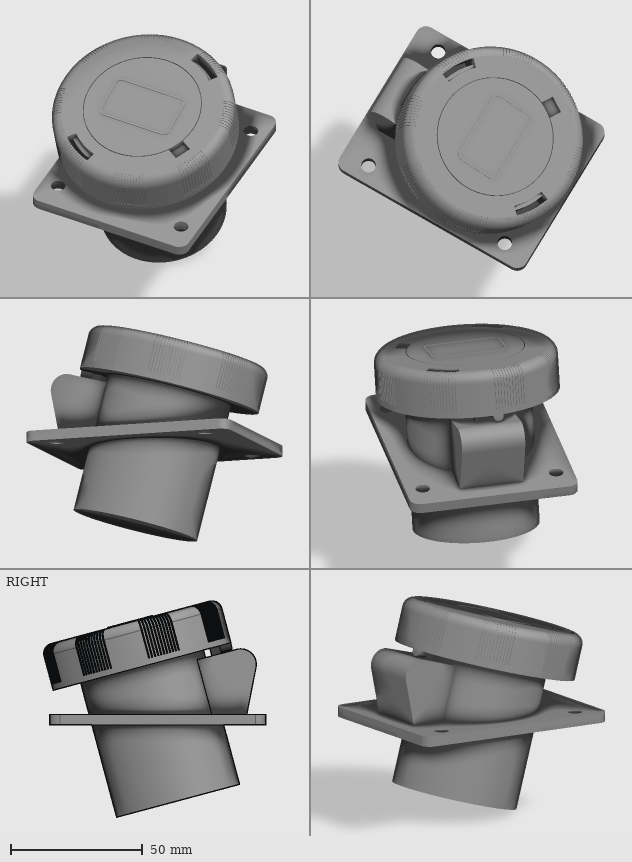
import cadquery as cq
import math

TILT = 15

PLATE_X = 65.3
PLATE_Y = 81.95
PLATE_THICKNESS = 4.0
PLATE_CORNER = 4.0
HOLE_DIAMETER = 5.6
HOLE_SPACING_X = 52.0
HOLE_SPACING_Y = 60.0

BARREL_RADIUS = 24.2
BARREL_BOTTOM = -29.8
CAP_RADIUS = 34.95
CAP_BOTTOM = 22.9
CAP_TOP = 40.25
CAP_FILLET = 4.0
CAP_FACE_RADIUS = CAP_RADIUS - CAP_FILLET

CAP_TURN = 30

GRIP_COUNT = 8
GROOVES_PER_GRIP = 11
GROOVE_PITCH = 2
GROOVE_ANGLE = 0.6
GROOVE_DEPTH = 0.25
GRIP_RIM = 2.45
GROOVE_BOTTOM = CAP_BOTTOM + GRIP_RIM

RING_RADIUS = 22.7
RING_WIDTH = 0.3
RING_DEPTH = 0.85
FRAME_X = 29.5
FRAME_Y = 17.7
FRAME_CORNER = 2.6
FRAME_WIDTH = 0.7
FRAME_HEIGHT = 0.3
WINDOW_ANGLE = 25.5
WINDOW_INNER_RADIUS = 27.3
WINDOW_LEDGE_RADIUS = 28.8
WINDOW_LEDGE_DEPTH = 2.7
WINDOW_DEPTH = 14.3
NOTCH_TURN = CAP_TURN + 90
NOTCH_OUTER_RADIUS = 27.4
NOTCH_WIDTH = 6.6
NOTCH_DEPTH = 2.8

HINGE_X = 24.6
HINGE_ROUND = 6.0
HINGE_ROUND_Y = 31.4
HINGE_TOP = 20.0
HINGE_BACK_LEAN = 11.2

LUG_X = 8.4
LUG_INNER = 26.5
LUG_OUTER = 30.3
PIN_RADIUS = 1.9
PIN_HEIGHT = 22.3
PIN_TURN = -7
PIN_END_RADIUS = 34.8


def turned(shape, angle):
    """Turn a shape clockwise about the cap axis."""
    return shape.rotate((0, 0, 0), (0, 0, 1), -angle)


def leaned(shape):
    """Lean an upright shape so that its top moves toward -Y."""
    return shape.rotate((0, 0, 0), (1, 0, 0), TILT)


def make_plate():
    return (
        cq.Workplane("XY")
        .rect(PLATE_X, PLATE_Y)
        .extrude(PLATE_THICKNESS)
        .edges("|Z")
        .fillet(PLATE_CORNER)
        .faces(">Z")
        .workplane()
        .rect(HOLE_SPACING_X, HOLE_SPACING_Y, forConstruction=True)
        .vertices()
        .hole(HOLE_DIAMETER)
    )


def make_barrel():
    height = CAP_BOTTOM - BARREL_BOTTOM
    return cq.Workplane("XY").workplane(offset=BARREL_BOTTOM).circle(BARREL_RADIUS).extrude(height)


def make_frame():
    """Raised rim around the label area."""
    plane = cq.Workplane("XY").workplane(offset=CAP_TOP)
    outer = plane.rect(FRAME_X, FRAME_Y).extrude(FRAME_HEIGHT)
    outer = outer.edges("|Z").fillet(FRAME_CORNER)
    inner = plane.rect(FRAME_X - 2 * FRAME_WIDTH, FRAME_Y - 2 * FRAME_WIDTH).extrude(FRAME_HEIGHT)
    inner = inner.edges("|Z").fillet(FRAME_CORNER - FRAME_WIDTH)
    return outer.cut(inner)


def make_ring_groove():
    plane = cq.Workplane("XY").workplane(offset=CAP_TOP - RING_DEPTH)
    return plane.circle(RING_RADIUS).circle(RING_RADIUS - RING_WIDTH).extrude(RING_DEPTH)


def ring_sector(inner, outer, depth):
    """Part of a ring, centred on +Y and sunk below the cap face."""
    sector = (
        cq.Workplane("XZ")
        .moveTo(inner, CAP_TOP - depth)
        .lineTo(outer, CAP_TOP - depth)
        .lineTo(outer, CAP_TOP)
        .lineTo(inner, CAP_TOP)
        .close()
        .revolve(WINDOW_ANGLE, (0, 0, 0), (0, -1, 0))
    )
    return turned(sector, -WINDOW_ANGLE / 2 - 90)


def make_window():
    """Deep curved slot with a shallow ledge along its inner side."""
    ledge = ring_sector(WINDOW_INNER_RADIUS, CAP_FACE_RADIUS, WINDOW_LEDGE_DEPTH)
    return ledge.union(ring_sector(WINDOW_LEDGE_RADIUS, CAP_FACE_RADIUS, WINDOW_DEPTH))


def make_notch():
    """Straight-sided pocket that runs out from the ring groove."""
    inner = RING_RADIUS - RING_WIDTH
    pocket = (
        cq.Workplane("XY")
        .workplane(offset=CAP_TOP - NOTCH_DEPTH)
        .center(0, NOTCH_OUTER_RADIUS / 2)
        .rect(NOTCH_WIDTH, NOTCH_OUTER_RADIUS)
        .extrude(NOTCH_DEPTH)
    )
    disc = cq.Workplane("XY").workplane(offset=CAP_TOP - NOTCH_DEPTH).circle(inner).extrude(NOTCH_DEPTH)
    return turned(pocket.cut(disc), NOTCH_TURN)


def make_groove():
    """Thin groove up the cap side and over its rounded edge, at +X."""
    shoulder = CAP_TOP - CAP_FILLET
    floor_fillet = CAP_FILLET - GROOVE_DEPTH
    diagonal = math.sqrt(0.5)
    return (
        cq.Workplane("XZ")
        .moveTo(CAP_RADIUS - GROOVE_DEPTH, GROOVE_BOTTOM)
        .lineTo(CAP_RADIUS - GROOVE_DEPTH, shoulder)
        .threePointArc(
            (CAP_FACE_RADIUS + floor_fillet * diagonal, shoulder + floor_fillet * diagonal),
            (CAP_FACE_RADIUS, CAP_TOP - GROOVE_DEPTH),
        )
        .lineTo(CAP_FACE_RADIUS, CAP_TOP + GROOVE_DEPTH)
        .lineTo(CAP_RADIUS + GROOVE_DEPTH, CAP_TOP + GROOVE_DEPTH)
        .lineTo(CAP_RADIUS + GROOVE_DEPTH, GROOVE_BOTTOM)
        .close()
        .revolve(GROOVE_ANGLE, (0, 0, 0), (0, 1, 0))
        .rotate((0, 0, 0), (0, 0, 1), 90 + GROOVE_ANGLE / 2)
    )


def make_cap_wedge():
    """Slice of the cap, centred on +Y, with one grip in its middle."""
    height = CAP_TOP - CAP_BOTTOM
    plane = cq.Workplane("XY").workplane(offset=CAP_BOTTOM)
    reach = 2 * CAP_RADIUS
    half_width = reach * math.tan(math.pi / GRIP_COUNT)
    slice_prism = plane.polyline([(0, 0), (half_width, reach), (-half_width, reach)]).close().extrude(height)
    plain_cap = plane.circle(CAP_RADIUS).extrude(height).faces(">Z").edges().fillet(CAP_FILLET)
    groove = make_groove()
    first_turn = -GROOVE_PITCH * (GROOVES_PER_GRIP - 1) / 2
    grooves = [turned(groove, first_turn + index * GROOVE_PITCH).val() for index in range(GROOVES_PER_GRIP)]
    return plain_cap.intersect(slice_prism).cut(cq.Workplane(cq.Compound.makeCompound(grooves)))


def make_cap():
    """Cap assembled from identical wedges, one for each grip."""
    wedge = make_cap_wedge().val()
    wedges = [turned(wedge, CAP_TURN + index * 360 / GRIP_COUNT) for index in range(GRIP_COUNT)]
    return cq.Workplane(wedges[0].fuse(*wedges[1:]).clean())


def make_hinge_block():
    """Block whose sloped top follows the cap underside and whose back leans outward."""
    tilt = math.radians(TILT)
    lean = math.radians(HINGE_BACK_LEAN)
    slope_y = HINGE_ROUND_Y - HINGE_ROUND * math.sin(tilt)
    slope_z = (HINGE_TOP + slope_y * math.sin(tilt)) / math.cos(tilt)
    round_z = slope_z - HINGE_ROUND * math.cos(tilt)
    middle = (math.pi / 2 + tilt - lean) / 2
    back_y = HINGE_ROUND_Y + HINGE_ROUND * math.cos(lean)
    back_z = round_z - HINGE_ROUND * math.sin(lean)
    inner_z = HINGE_TOP / math.cos(tilt)
    return (
        cq.Workplane("YZ")
        .moveTo(0, 0)
        .lineTo(0, inner_z)
        .lineTo(slope_y, slope_z)
        .threePointArc(
            (HINGE_ROUND_Y + HINGE_ROUND * math.cos(middle), round_z + HINGE_ROUND * math.sin(middle)),
            (back_y, back_z),
        )
        .lineTo(back_y - back_z * math.tan(lean), 0)
        .close()
        .extrude(HINGE_X / 2, both=True)
    )


def make_lug():
    return (
        cq.Workplane("XY")
        .workplane(offset=HINGE_TOP)
        .center(0, (LUG_INNER + LUG_OUTER) / 2)
        .rect(LUG_X, LUG_OUTER - LUG_INNER)
        .extrude(CAP_BOTTOM - HINGE_TOP)
    )


def make_pin():
    length = PIN_END_RADIUS - LUG_OUTER
    pin = cq.Workplane("XZ", origin=(0, LUG_OUTER, PIN_HEIGHT)).circle(PIN_RADIUS).extrude(-length)
    return turned(pin, PIN_TURN)


cap = make_cap().cut(make_notch().union(make_ring_groove()))
for window_turn in (CAP_TURN, CAP_TURN + 180):
    cap = cap.cut(turned(make_window(), window_turn))

socket = make_barrel().union(make_lug()).union(make_pin()).union(make_frame()).union(cap)
result = make_plate().union(make_hinge_block()).union(leaned(socket))